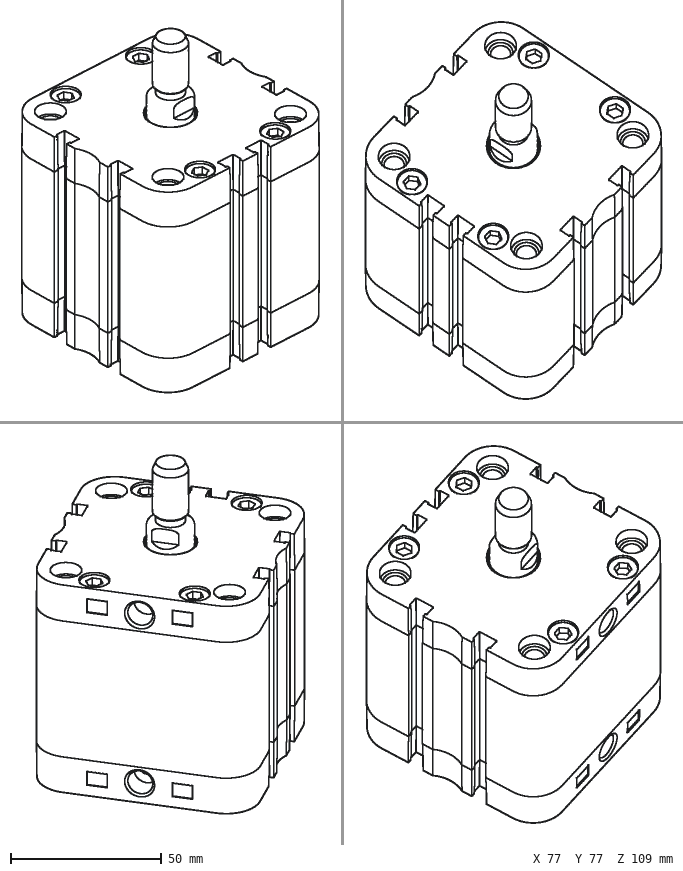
import cadquery as cq
import math


HOUSING_SIDE = 77.0
CORNER_RADIUS = 11.9
CAP_HEIGHT = 13.6
BARREL_LENGTH = 51.7
BORE_DIAMETER = 63.0
CAP_DRAFT = 0.6
BARREL_TOP = CAP_HEIGHT + BARREL_LENGTH
HOUSING_TOP = BARREL_TOP + CAP_HEIGHT
HALF_SIDE = HOUSING_SIDE / 2

SLOT_NECK_WIDTH = 5.7
SLOT_WIDTH = 6.8
SLOT_LIP = 1.7
SLOT_DEPTH = 5.2
SIDE_SLOT_OFFSET = 12.9
END_SLOT_OFFSET = 6.4
HOLLOW_WIDTH = 11.8
HOLLOW_DEPTH = 1.5
HOLLOW_RADIUS = (HOLLOW_WIDTH**2 / 4 + HOLLOW_DEPTH**2) / (2 * HOLLOW_DEPTH)

MOUNT_OFFSET = 28.2
MOUNT_RECESS_DIAMETER = 10.5
MOUNT_RECESS_DEPTH = 4.4
MOUNT_THREAD_DIAMETER = 8.2
MOUNT_CORE_DIAMETER = 6.6

SCREW_X = 32.3
SCREW_Y = 17.3
SCREW_RECESS_DIAMETER = 10.2
SCREW_HEAD_DIAMETER = 9.8
SCREW_RECESS_DEPTH = 0.8
SOCKET_WIDTH = 5.0
SOCKET_DEPTH = 2.7

PORT_DIAMETER = 8.6
PORT_MOUTH_DIAMETER = 10.5
PORT_DEPTH = 8.7
FRONT_PORT_Z = HOUSING_TOP - 7.4
REAR_PORT_Z = 7.4
AIR_PASSAGE_DIAMETER = 4.0
AIR_PASSAGE_LIFT = 1.0
AIR_PASSAGE_LENGTH = 6.5

PANEL_WIDTH = 7.0
PANEL_HEIGHT = 5.1
PANEL_DEPTH = 0.5
PANEL_OFFSET = 14.7
PANEL_EDGE_DISTANCE = 6.6

ROD_TOP = 109.0
ROD_DIAMETER = 16.0
ROD_SHOULDER_Z = 87.0
ROD_SHOULDER_FILLET = 1.7
ROD_FLATS_WIDTH = 13.0
ROD_FLATS_Z = 81.8
NECK_DIAMETER = 10.0
NECK_LENGTH = 2.5
THREAD_DIAMETER = 12.0
THREAD_ROOT_CHAMFER = 0.8
THREAD_TIP_DIAMETER = 9.8
THREAD_TIP_LENGTH = 2.6
ROD_MOUTH_DIAMETER = 18.0
ROD_RECESS_DIAMETER = 17.7
ROD_RECESS_DEPTH = 0.7
ROD_CLEARANCE_DIAMETER = 16.6
ROD_CLEARANCE_DEPTH = 1.7


def housing_section():
    """Cross-section shared by the barrel and both caps."""
    section = cq.Sketch().rect(HOUSING_SIDE, HOUSING_SIDE).vertices().fillet(CORNER_RADIUS).reset()
    neck_centre = HALF_SIDE - SLOT_LIP / 2
    pocket_depth = SLOT_DEPTH - SLOT_LIP
    pocket_centre = HALF_SIDE - SLOT_DEPTH + pocket_depth / 2
    for side in (-1, 1):
        neck_points = [(x, side * neck_centre) for x in (-SIDE_SLOT_OFFSET, SIDE_SLOT_OFFSET)]
        pocket_points = [(x, side * pocket_centre) for x in (-SIDE_SLOT_OFFSET, SIDE_SLOT_OFFSET)]
        section = section.push(neck_points).rect(SLOT_NECK_WIDTH, SLOT_LIP, mode="s").reset()
        section = section.push(pocket_points).rect(SLOT_WIDTH, pocket_depth, mode="s").reset()
        hollow_centre = (0, side * (HALF_SIDE - HOLLOW_DEPTH + HOLLOW_RADIUS))
        section = section.push([hollow_centre]).circle(HOLLOW_RADIUS, mode="s").reset()
        section = section.push([(neck_centre, side * END_SLOT_OFFSET)])
        section = section.rect(SLOT_LIP, SLOT_NECK_WIDTH, mode="s").reset()
        section = section.push([(pocket_centre, side * END_SLOT_OFFSET)])
        section = section.rect(pocket_depth, SLOT_WIDTH, mode="s").reset()
    return section.clean()


def cone(bottom_diameter, top_diameter, height, point, direction=(0, 0, 1)):
    """Truncated cone standing on `point` along `direction`."""
    solid = cq.Solid.makeCone(
        bottom_diameter / 2, top_diameter / 2, height, cq.Vector(*point), cq.Vector(*direction)
    )
    return cq.Workplane(solid)


def cylinder(diameter, height, point, direction=(0, 0, 1)):
    """Cylinder standing on `point` along `direction`."""
    solid = cq.Solid.makeCylinder(diameter / 2, height, cq.Vector(*point), cq.Vector(*direction))
    return cq.Workplane(solid)


def cap_blank():
    """Drafted cap standing on Z = 0 with its wide end down."""
    return cq.Workplane().placeSketch(housing_section()).extrude(CAP_HEIGHT, taper=CAP_DRAFT)


def port(z):
    """Air port drilled from the -X side, with a countersunk mouth."""
    mouth_depth = (PORT_MOUTH_DIAMETER - PORT_DIAMETER) / 2
    mouth = (-HALF_SIDE, 0, z)
    drill = cylinder(PORT_DIAMETER, PORT_DEPTH, mouth, (1, 0, 0))
    return drill.union(cone(PORT_MOUTH_DIAMETER, PORT_DIAMETER, mouth_depth, mouth, (1, 0, 0)))


def rod_recess():
    """Stepped shallow recess around the rod, with a chamfered mouth."""
    chamfer = (ROD_MOUTH_DIAMETER - ROD_RECESS_DIAMETER) / 2
    recess = cylinder(ROD_RECESS_DIAMETER, ROD_RECESS_DEPTH, (0, 0, HOUSING_TOP - ROD_RECESS_DEPTH))
    clearance_floor = (0, 0, HOUSING_TOP - ROD_CLEARANCE_DEPTH)
    recess = recess.union(cylinder(ROD_CLEARANCE_DIAMETER, ROD_CLEARANCE_DEPTH, clearance_floor))
    return recess.union(
        cone(ROD_RECESS_DIAMETER, ROD_MOUTH_DIAMETER, chamfer, (0, 0, HOUSING_TOP - chamfer))
    )


def label_panels(z):
    """Pair of label panels sunk into the -X side, one on each side of a port."""
    return (
        cq.Workplane("YZ", origin=(-HALF_SIDE, 0, z))
        .pushPoints([(-PANEL_OFFSET, 0), (PANEL_OFFSET, 0)])
        .rect(PANEL_WIDTH, PANEL_HEIGHT)
        .extrude(PANEL_DEPTH)
    )


def mounting_hole(x, y):
    """Recess, countersink and core hole that runs through the front cap."""
    floor_z = HOUSING_TOP - MOUNT_RECESS_DEPTH
    countersink = (MOUNT_THREAD_DIAMETER - MOUNT_CORE_DIAMETER) / 2
    hole = cylinder(MOUNT_CORE_DIAMETER, CAP_HEIGHT, (x, y, BARREL_TOP))
    hole = hole.union(cylinder(MOUNT_RECESS_DIAMETER, MOUNT_RECESS_DEPTH, (x, y, floor_z)))
    return hole.union(
        cone(MOUNT_CORE_DIAMETER, MOUNT_THREAD_DIAMETER, countersink, (x, y, floor_z - countersink))
    )


def screw_recess(x, y, socket_angle):
    """Tapered screw-head recess with a hexagon socket in its floor."""
    floor_z = HOUSING_TOP - SCREW_RECESS_DEPTH
    recess = cone(SCREW_HEAD_DIAMETER, SCREW_RECESS_DIAMETER, SCREW_RECESS_DEPTH, (x, y, floor_z))
    socket = (
        cq.Workplane(origin=(x, y, floor_z - SOCKET_DEPTH))
        .transformed(rotate=(0, 0, socket_angle))
        .polygon(6, SOCKET_WIDTH / math.cos(math.pi / 6))
        .extrude(SOCKET_DEPTH)
    )
    return recess.union(socket)


def make_barrel():
    barrel = cq.Workplane(origin=(0, 0, CAP_HEIGHT)).placeSketch(housing_section()).extrude(BARREL_LENGTH)
    return barrel.cut(cylinder(BORE_DIAMETER, BARREL_LENGTH, (0, 0, CAP_HEIGHT)))


def make_front_cap():
    cap = cap_blank().translate((0, 0, BARREL_TOP))
    cap = cap.cut(cylinder(ROD_DIAMETER, CAP_HEIGHT, (0, 0, BARREL_TOP)))
    cap = cap.cut(rod_recess())
    cap = cap.cut(port(FRONT_PORT_Z))
    cap = cap.cut(label_panels(HOUSING_TOP - PANEL_EDGE_DISTANCE))
    for y_sign in (-1, 1):
        for x_sign, socket_angle in ((-1, 30), (1, 0)):
            cap = cap.cut(mounting_hole(x_sign * MOUNT_OFFSET, y_sign * MOUNT_OFFSET))
            cap = cap.cut(screw_recess(x_sign * SCREW_X, y_sign * SCREW_Y, socket_angle))
    return cap


def make_rear_cap():
    cap = cap_blank().mirror("XY").translate((0, 0, CAP_HEIGHT))
    cap = cap.cut(port(REAR_PORT_Z))
    cap = cap.cut(label_panels(PANEL_EDGE_DISTANCE))
    passage_start = (PORT_DEPTH - HALF_SIDE, 0, REAR_PORT_Z + AIR_PASSAGE_LIFT)
    return cap.cut(cylinder(AIR_PASSAGE_DIAMETER, AIR_PASSAGE_LENGTH, passage_start, (1, 0, 0)))


def make_rod():
    """Rod that stands on the rear cap, with wrench flats and a threaded end."""
    thread_start = ROD_SHOULDER_Z + NECK_LENGTH
    root_radius = THREAD_DIAMETER / 2 - THREAD_ROOT_CHAMFER
    rod = cylinder(ROD_DIAMETER, ROD_SHOULDER_Z - CAP_HEIGHT, (0, 0, CAP_HEIGHT))
    rod = rod.faces(">Z").edges().fillet(ROD_SHOULDER_FILLET)
    threaded_end = (
        cq.Workplane("XZ")
        .moveTo(0, ROD_SHOULDER_Z)
        .lineTo(NECK_DIAMETER / 2, ROD_SHOULDER_Z)
        .lineTo(NECK_DIAMETER / 2, thread_start)
        .lineTo(root_radius, thread_start)
        .lineTo(THREAD_DIAMETER / 2, thread_start + THREAD_ROOT_CHAMFER)
        .lineTo(THREAD_DIAMETER / 2, ROD_TOP - THREAD_TIP_LENGTH)
        .lineTo(THREAD_TIP_DIAMETER / 2, ROD_TOP)
        .lineTo(0, ROD_TOP)
        .close()
        .revolve(360, (0, 0, 0), (0, 1, 0))
    )
    for side in (-1, 1):
        rod = rod.cut(wrench_flat(side))
    return rod.union(threaded_end)


def wrench_flat(side):
    """Material removed for one wrench flat, with a 45-degree run-out at its lower end."""
    flat_x = ROD_FLATS_WIDTH / 2
    reach = ROD_DIAMETER / 2 - flat_x
    return (
        cq.Workplane("XZ")
        .moveTo(side * flat_x, ROD_SHOULDER_Z)
        .lineTo(side * flat_x, ROD_FLATS_Z)
        .lineTo(side * (flat_x + reach), ROD_FLATS_Z - reach)
        .lineTo(side * (flat_x + reach), ROD_SHOULDER_Z)
        .close()
        .extrude(ROD_DIAMETER / 2, both=True)
    )


barrel = make_barrel()
front_cap = make_front_cap()
rear_cap = make_rear_cap()
rod = make_rod()

result = cq.Compound.makeCompound([barrel.val(), front_cap.val(), rear_cap.val(), rod.val()])